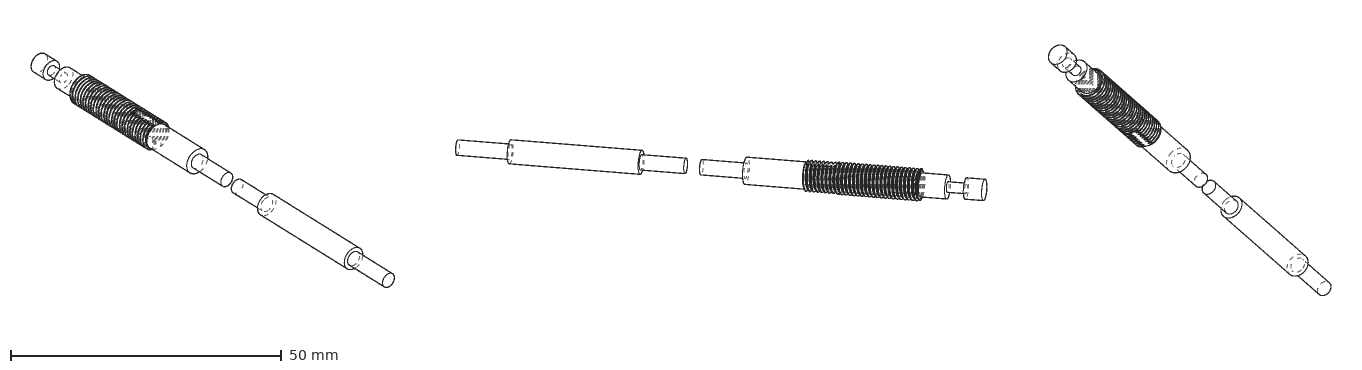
import cadquery as cq
import math

head_end = 3.5
barrel_start = 7.0
thread_start = 12.0
flats_start = 28.0
thread_end = 34.0
barrel_end = 45.5
tail_length = 8.5
probe_end = barrel_end + tail_length
receptacle_start = 57.0
sleeve_start = receptacle_start + tail_length
sleeve_length = 25.0
sleeve_end = sleeve_start + sleeve_length
receptacle_end = 100.56

head_diameter = 4.0
plunger_diameter = 2.0
nose_diameter = 4.5
barrel_diameter = 5.1
thread_diameter = 6.0
tail_diameter = 2.9
sleeve_diameter = 4.5

thread_pitch = 0.75
flank_angle = 30
flank_slope = math.tan(math.radians(flank_angle))
triangle_height = thread_pitch / (2 * flank_slope)
thread_depth = triangle_height * 5 / 8
crest_width = thread_pitch / 8
crest_radius = thread_diameter / 2
root_radius = crest_radius - thread_depth

ridge_embedment = 0.1

thread_phase = 72

across_flats = barrel_diameter


def cylinder(start, end, diameter):
    """Round bar along the X axis, with its seam on the +Z side."""
    section_plane = cq.Plane(origin=(start, 0, 0), xDir=(0, 0, 1), normal=(1, 0, 0))
    return cq.Workplane(section_plane).circle(diameter / 2).extrude(end - start)


def slab(start, end, height):
    """Block between two X stations, wider than the thread, centred on the axis."""
    length = end - start
    block = cq.Workplane("XY").box(length, 2 * thread_diameter, height)
    return block.translate((start + length / 2, 0, 0))


def helical_ridge(start, end):
    """Right-handed ridge between two X stations, its foot sunk into the core."""
    foot_radius = root_radius - ridge_embedment
    crest_half = crest_width / 2
    foot_half = crest_half + (crest_radius - foot_radius) * flank_slope
    start_angle = thread_phase + 360 * (start - thread_start) / thread_pitch
    helix = cq.Wire.makeHelix(thread_pitch, end - start + 2 * thread_pitch, root_radius)
    ridge = (
        cq.Workplane("XZ")
        .moveTo(foot_radius, -foot_half)
        .lineTo(crest_radius, -crest_half)
        .lineTo(crest_radius, crest_half)
        .lineTo(foot_radius, foot_half)
        .close()
        .sweep(cq.Workplane(helix), isFrenet=True)
        .rotate((0, 0, 0), (0, 1, 0), 90)
        .rotate((0, 0, 0), (1, 0, 0), start_angle)
        .translate((start - thread_pitch, 0, 0))
    )
    return ridge.intersect(slab(start, end, 2 * thread_diameter))


def round_thread():
    """Front stretch of thread, full all round."""
    core = cylinder(thread_start, flats_start, 2 * root_radius)
    return core.union(helical_ridge(thread_start, flats_start))


def flatted_thread():
    """Rear stretch of thread with a flat on top and one underneath."""
    core = cylinder(flats_start, thread_end, 2 * root_radius)
    thread = core.union(helical_ridge(flats_start, thread_end))
    envelope = slab(flats_start, thread_end, 2 * thread_diameter)
    removed = envelope.cut(slab(flats_start, thread_end, across_flats))
    return thread.cut(removed)


def make_probe():
    """Plunger, threaded barrel and rear tail in one piece."""
    thread = round_thread().union(flatted_thread(), glue=True)
    return (
        cylinder(0, head_end, head_diameter)
        .union(cylinder(head_end, barrel_start, plunger_diameter))
        .union(cylinder(barrel_start, thread_start, nose_diameter))
        .union(cylinder(thread_end, barrel_end, barrel_diameter))
        .union(cylinder(barrel_end, probe_end, tail_diameter))
        .union(thread)
    )


def make_receptacle():
    """Thin pin with a thicker sleeve around its middle."""
    pin = cylinder(receptacle_start, receptacle_end, tail_diameter)
    return pin.union(cylinder(sleeve_start, sleeve_end, sleeve_diameter))


probe = make_probe()
receptacle = make_receptacle()
result = cq.Compound.makeCompound([probe.solids().val(), receptacle.solids().val()])